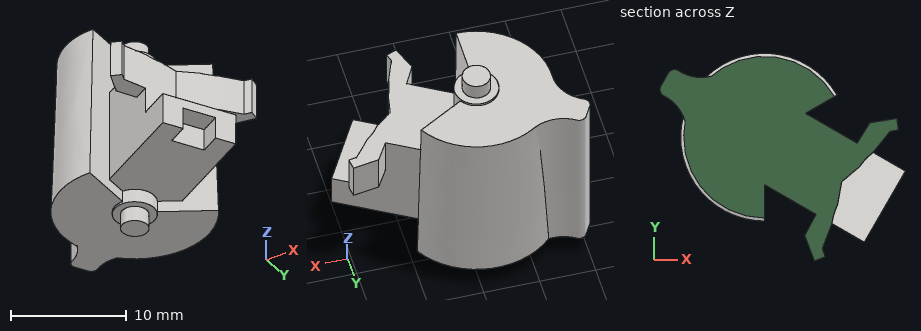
import cadquery as cq
import math

shaft_radius = 1.23
shaft_length = 18.6
collar_radius = 1.95
collar_length = 15.65

drum_height = 15.24
drum_bottom_radius = 7.25
drum_top_radius = 6.75
sector_start_angle = -90
sector_end_angle = 30
nose_angle = 150
arm_angle = -30

nose_tip = 9.97
nose_flat_half_width = 0.64
nose_corner_radius = 0.64
nose_blend_radius = 3.5

arm_half_width = 3.56
arm_length = 12.0
arm_bottom = -6.54
ledge_top = -3.52
fork_bottom = -1.05
fork_top = 2.46
slot_width = 3.16
slot_depth = 2.12
slot_top = -4.41

drum_bottom = -drum_height / 2

front_centre = (7.7, 0)
front_bend = (8.38, 1.89)
front_curve_middle = (8.53, 2.8)
front_curve_end = (8.79, arm_half_width)
wing_outline = [(9.15, 5.84), (9.72, 6.32), (9.08, 7.13), (7.24, 5.62), (7.17, arm_half_width)]


def polar(radius, angle):
    return (radius * math.cos(math.radians(angle)), radius * math.sin(math.radians(angle)))


def mirrored(point):
    return (point[0], -point[1])


def cylinder(radius, length):
    return cq.Workplane("XY").circle(radius).extrude(length / 2, both=True)


def block(start, end, half_width, bottom, top):
    """Box centred across the arm, running from start to end along it."""
    box = cq.Workplane("XY").box(end - start, 2 * half_width, top - bottom, centered=(False, True, False))
    return box.translate((start, 0, bottom))


def make_nose():
    """Straight prism whose concave flanks blend tangentially into the top circle of the drum."""
    corner_x = nose_tip - nose_corner_radius
    corner_y = nose_flat_half_width
    corner_distance = math.hypot(corner_x, corner_y)

    drum_to_blend = drum_top_radius + nose_blend_radius
    corner_to_blend = nose_corner_radius + nose_blend_radius
    cosine = corner_distance**2 + drum_to_blend**2 - corner_to_blend**2
    cosine /= 2 * corner_distance * drum_to_blend
    blend_angle = math.degrees(math.atan2(corner_y, corner_x) + math.acos(cosine))
    blend_x, blend_y = polar(drum_to_blend, blend_angle)
    flank_angle = math.degrees(math.atan2(blend_y - corner_y, blend_x - corner_x))

    def corner_point(angle):
        offset_x, offset_y = polar(nose_corner_radius, angle)
        return (corner_x + offset_x, corner_y + offset_y)

    drum_tangent = polar(drum_top_radius, blend_angle)
    middle_angle = (blend_angle + flank_angle) / 2 + 180
    offset_x, offset_y = polar(nose_blend_radius, middle_angle)
    blend_middle = (blend_x + offset_x, blend_y + offset_y)
    corner_start = corner_point(flank_angle)
    corner_middle = corner_point(flank_angle / 2)
    corner_end = corner_point(0)

    return (
        cq.Workplane("XY")
        .workplane(offset=drum_bottom)
        .moveTo(0, 0)
        .lineTo(*drum_tangent)
        .threePointArc(blend_middle, corner_start)
        .threePointArc(corner_middle, corner_end)
        .lineTo(*mirrored(corner_end))
        .threePointArc(mirrored(corner_middle), mirrored(corner_start))
        .threePointArc(mirrored(blend_middle), mirrored(drum_tangent))
        .close()
        .extrude(drum_height)
        .rotate((0, 0, 0), (0, 0, 1), nose_angle)
    )


def make_drum():
    cone = (
        cq.Workplane("XY")
        .workplane(offset=drum_bottom)
        .circle(drum_bottom_radius)
        .workplane(offset=drum_height)
        .circle(drum_top_radius)
        .loft()
    )
    cutter_radius = 2 * drum_bottom_radius
    sector = (
        cq.Workplane("XY")
        .moveTo(0, 0)
        .lineTo(*polar(cutter_radius, sector_start_angle))
        .threePointArc(polar(cutter_radius, arm_angle), polar(cutter_radius, sector_end_angle))
        .close()
        .extrude(drum_height, both=True)
    )
    return cone.union(make_nose()).cut(sector)


def make_fork():
    """Symmetric upper arm with two wings; the wings are cut away below fork_bottom."""
    outline = (
        cq.Workplane("XY")
        .workplane(offset=ledge_top)
        .moveTo(*front_centre)
        .lineTo(*front_bend)
        .threePointArc(front_curve_middle, front_curve_end)
    )
    for point in wing_outline:
        outline = outline.lineTo(*point)
    outline = outline.lineTo(0, arm_half_width).lineTo(0, -arm_half_width)
    for point in reversed(wing_outline):
        outline = outline.lineTo(*mirrored(point))
    fork = (
        outline.lineTo(*mirrored(front_curve_end))
        .threePointArc(mirrored(front_curve_middle), mirrored(front_bend))
        .close()
        .extrude(fork_top - ledge_top)
    )
    arm_core = block(0, arm_length, arm_half_width, ledge_top, fork_bottom)
    wing_level = block(0, arm_length, arm_length, fork_bottom, fork_top)
    return fork.intersect(arm_core.union(wing_level))


def make_arm():
    base = block(0, arm_length, arm_half_width, arm_bottom, ledge_top)
    end_slot = block(arm_length - slot_depth, arm_length, slot_width / 2, arm_bottom, slot_top)
    arm = base.cut(end_slot).union(make_fork())
    return arm.rotate((0, 0, 0), (0, 0, 1), arm_angle)


shaft = cylinder(shaft_radius, shaft_length).union(cylinder(collar_radius, collar_length))
result = make_drum().union(shaft).union(make_arm())